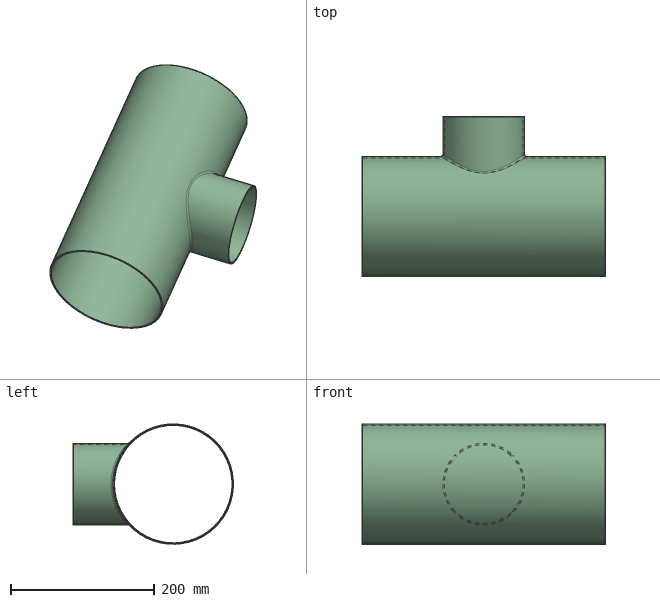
import cadquery as cq

run_length = 340.0
run_diameter = 168.3
run_bore = 164.2

branch_diameter = 114.2
branch_bore = 110.0
overall_depth = 224.0
branch_reach = overall_depth - run_diameter / 2

seam_radius = 3.0


def run_cylinder(diameter):
    return cq.Workplane("YZ").circle(diameter / 2).extrude(run_length / 2, both=True)


def branch_cylinder(diameter):
    return cq.Workplane("XZ").circle(diameter / 2).extrude(-branch_reach)


def round_seam(body):
    seam_limit = (run_diameter / 2 + branch_reach) / 2
    seam_zone = cq.selectors.BoxSelector(
        (-branch_diameter, 0, -branch_diameter),
        (branch_diameter, seam_limit, branch_diameter),
        boundingbox=True,
    )
    return body.edges(seam_zone).fillet(seam_radius)


outer = run_cylinder(run_diameter).union(branch_cylinder(branch_diameter))
outer = round_seam(outer)
result = outer.cut(run_cylinder(run_bore)).cut(branch_cylinder(branch_bore))